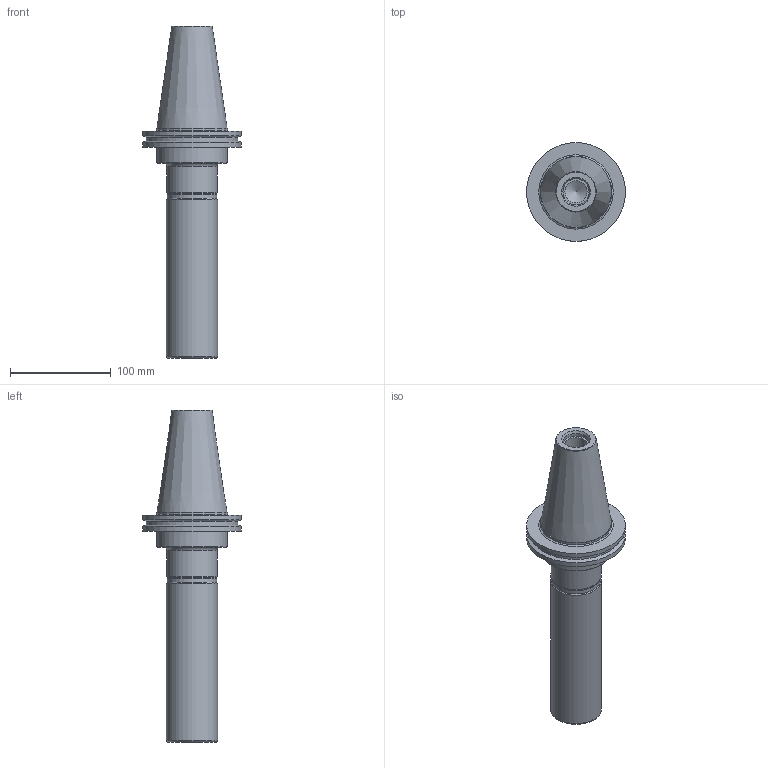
import cadquery as cq
import math


gauge_radius = 69.85 / 2
taper_length = 101.6
taper_per_length = 7 / 24
tip_chamfer = 0.5
taper_tip_radius = gauge_radius - taper_length * taper_per_length / 2

bore_mouth_radius = 14.3
bore_mouth_cone_depth = 2.5
counterbore_radius = 13.0
counterbore_depth = 6.0
bore_radius = 11.1
bore_depth = 60.0
drill_point_angle = 118

collar_radius = 35.4
collar_bottom = -2.3
collar_cone_radius = 37.0

flange_radius = 98.425 / 2
flange_top = -3.175
flange_bottom = -19.05
v_groove_top = -7.5
v_groove_bottom = -14.2
v_groove_depth = 3.6
v_flank_height = 1.35

hub_bottom = -34.8
hub_chamfer = 0.6
neck_radius = 25.0
neck_fillet = 3.6
neck_bottom = -64.0
weld_bevel = 0.5

bar_radius = 25.4
bar_shoulder = -70.7
bar_bottom = -228.6
bar_end_fillet = 1.5

joint_radius = neck_radius - weld_bevel
joint_height = -65.8
bar_bevel = bar_radius - joint_radius

fillet_mid = 1 - math.sqrt(0.5)


def make_bore():
    """Stepped blind bore with a drill point, entering from the tip of the taper."""
    cone_height = bore_radius / math.tan(math.radians(drill_point_angle / 2))
    counterbore_floor = taper_length - counterbore_depth
    bore_floor = taper_length - bore_depth
    profile = (
        cq.Workplane("XZ")
        .moveTo(0, taper_length)
        .lineTo(bore_mouth_radius, taper_length)
        .lineTo(counterbore_radius, taper_length - bore_mouth_cone_depth)
        .lineTo(counterbore_radius, counterbore_floor)
        .lineTo(bore_radius, counterbore_floor)
        .lineTo(bore_radius, bore_floor)
        .lineTo(0, bore_floor - cone_height)
        .close()
    )
    return profile.revolve(360, (0, 0), (0, 1))


def make_holder():
    """Taper, collar, V flange, hub and neck turned as one piece."""
    groove_radius = flange_radius - v_groove_depth
    profile = (
        cq.Workplane("XZ")
        .moveTo(0, taper_length)
        .lineTo(taper_tip_radius - tip_chamfer, taper_length)
        .lineTo(taper_tip_radius, taper_length - tip_chamfer)
        .lineTo(gauge_radius, 0)
        .lineTo(collar_radius, 0)
        .lineTo(collar_radius, collar_bottom)
        .lineTo(collar_cone_radius, flange_top)
        .lineTo(flange_radius, flange_top)
        .lineTo(flange_radius, v_groove_top)
        .lineTo(groove_radius, v_groove_top - v_flank_height)
        .lineTo(groove_radius, v_groove_bottom + v_flank_height)
        .lineTo(flange_radius, v_groove_bottom)
        .lineTo(flange_radius, flange_bottom)
        .lineTo(gauge_radius, flange_bottom)
        .lineTo(gauge_radius, hub_bottom + hub_chamfer)
        .lineTo(gauge_radius - hub_chamfer, hub_bottom)
        .lineTo(neck_radius + neck_fillet, hub_bottom)
        .threePointArc(
            (neck_radius + neck_fillet * fillet_mid, hub_bottom - neck_fillet * fillet_mid),
            (neck_radius, hub_bottom - neck_fillet),
        )
        .lineTo(neck_radius, neck_bottom)
        .lineTo(joint_radius, neck_bottom - weld_bevel)
        .lineTo(joint_radius, joint_height)
        .lineTo(0, joint_height)
        .close()
    )
    return profile.revolve(360, (0, 0), (0, 1)).cut(make_bore())


def make_bar():
    """Solid bar whose reduced top butts against the neck of the holder."""
    profile = (
        cq.Workplane("XZ")
        .moveTo(0, joint_height)
        .lineTo(joint_radius, joint_height)
        .lineTo(joint_radius, bar_shoulder + bar_bevel)
        .lineTo(bar_radius, bar_shoulder)
        .lineTo(bar_radius, bar_bottom + bar_end_fillet)
        .threePointArc(
            (bar_radius - bar_end_fillet * fillet_mid, bar_bottom + bar_end_fillet * fillet_mid),
            (bar_radius - bar_end_fillet, bar_bottom),
        )
        .lineTo(0, bar_bottom)
        .close()
    )
    return profile.revolve(360, (0, 0), (0, 1))


holder = make_holder()
bar = make_bar()
result = cq.Compound.makeCompound([holder.val(), bar.val()])